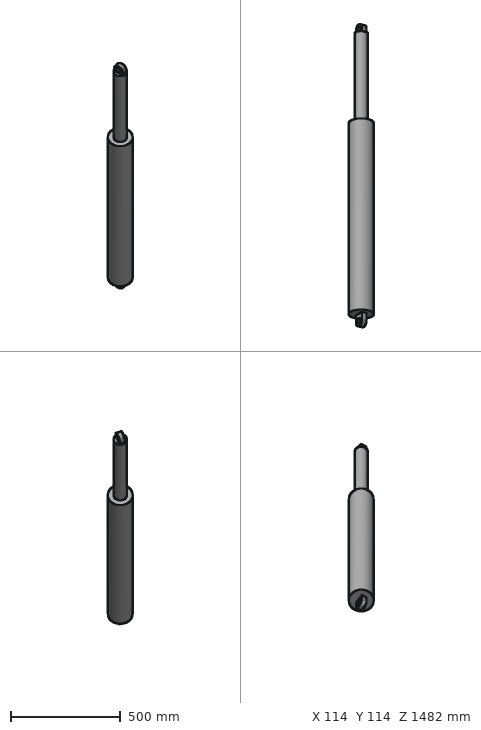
import cadquery as cq

total_length = 1482.0
cylinder_diameter = 114.0
rod_diameter = 61.0
eye_width = 50.0
eye_hole_diameter = 25.0
base_eye_thickness = 25.0
rod_eye_thickness = 25.0
base_eye_offset = 35.0
rod_eye_offset = 16.0
cylinder_length = 940.0

eye_radius = eye_width / 2
cylinder_bottom = base_eye_offset + eye_radius
cylinder_top = cylinder_bottom + cylinder_length
rod_top = total_length - eye_radius - rod_eye_offset
rod_length = rod_top - cylinder_top


def mounting_eye(face_height, offset, thickness, direction):
    """Round-ended lug on an end face; direction is +1 for up and -1 for down."""
    hole_height = face_height + direction * offset
    tip_height = hole_height + direction * eye_radius
    outline = (
        cq.Workplane("XZ")
        .moveTo(-eye_radius, face_height)
        .lineTo(-eye_radius, hole_height)
        .threePointArc((0, tip_height), (eye_radius, hole_height))
        .lineTo(eye_radius, face_height)
        .close()
    )
    lug = outline.extrude(thickness / 2, both=True)
    hole = (
        cq.Workplane("XZ")
        .center(0, hole_height)
        .circle(eye_hole_diameter / 2)
        .extrude(thickness, both=True)
    )
    return lug.cut(hole)


def round_bar(diameter, length, bottom):
    """Vertical solid bar centred on the Z axis."""
    return cq.Workplane("XY").workplane(offset=bottom).circle(diameter / 2).extrude(length)


def make_cylinder():
    """Outer cylinder with its base eye."""
    barrel = round_bar(cylinder_diameter, cylinder_length, cylinder_bottom)
    return barrel.union(mounting_eye(cylinder_bottom, base_eye_offset, base_eye_thickness, -1))


def make_piston_rod():
    """Piston rod with its end eye, standing on the top face of the cylinder."""
    shaft = round_bar(rod_diameter, rod_length, cylinder_top)
    return shaft.union(mounting_eye(rod_top, rod_eye_offset, rod_eye_thickness, 1))


cylinder = make_cylinder()
piston_rod = make_piston_rod()

result = cq.Compound.makeCompound([cylinder.val(), piston_rod.val()])